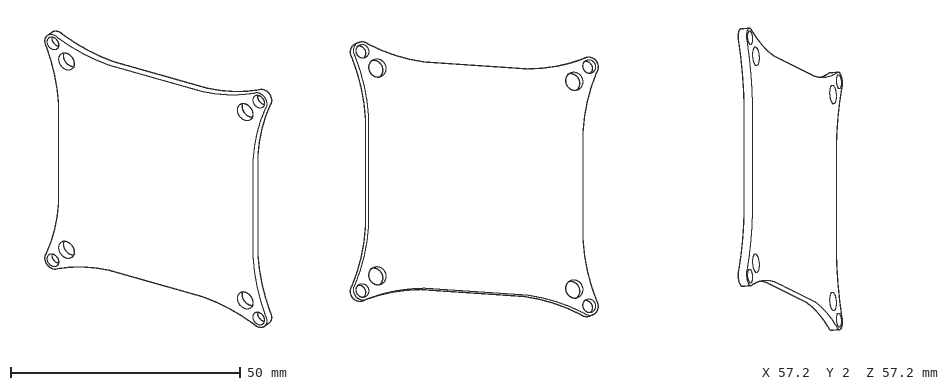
import cadquery as cq
import math

size = 57.25
thickness = 2.0
half_size = size / 2

flat_offset = 25.05
flat_half_length = 12.1

ear_radius = 2.1
ear_center = half_size - ear_radius
ear_hole_diameter = 3.0

ear_joint_angle = math.radians(126)

side_curve_sagitta = 0.6

mount_offset = 23.0
mount_hole_diameter = 4.0


def turned(point, quarter_turns):
    """Turn a point about the plate centre by clockwise quarter turns."""
    x, z = point
    for _ in range(quarter_turns):
        x, z = z, -x
    return x, z


def curve_middle(start, end, sagitta):
    """Middle point of an arc that bows to the right of its start-to-end direction."""
    dx = end[0] - start[0]
    dz = end[1] - start[1]
    chord = math.hypot(dx, dz)
    middle_x = (start[0] + end[0]) / 2 + sagitta * dz / chord
    middle_z = (start[1] + end[1]) / 2 - sagitta * dx / chord
    return middle_x, middle_z


def plate_outline():
    """Closed outline: each quarter is a flat, a curve, an ear and a second curve."""
    flat_start = (-flat_half_length, flat_offset)
    flat_end = (flat_half_length, flat_offset)
    joint_x = ear_center + ear_radius * math.cos(ear_joint_angle)
    joint_z = ear_center + ear_radius * math.sin(ear_joint_angle)
    ear_start = (joint_x, joint_z)
    ear_end = (joint_z, joint_x)
    ear_tip = (ear_center + ear_radius * math.sqrt(0.5),) * 2
    next_flat_start = turned(flat_start, 1)
    first_middle = curve_middle(flat_end, ear_start, side_curve_sagitta)
    second_middle = curve_middle(ear_end, next_flat_start, side_curve_sagitta)

    outline = cq.Workplane("XZ").moveTo(*flat_start)
    for turn in range(4):
        outline = outline.lineTo(*turned(flat_end, turn))
        outline = outline.threePointArc(turned(first_middle, turn), turned(ear_start, turn))
        outline = outline.threePointArc(turned(ear_tip, turn), turned(ear_end, turn))
        outline = outline.threePointArc(turned(second_middle, turn), turned(next_flat_start, turn))
    return outline.close()


def corner_holes(offset, diameter):
    """Four through-hole cutters at equal offsets along X and Z."""
    return (
        cq.Workplane("XZ")
        .rect(2 * offset, 2 * offset, forConstruction=True)
        .vertices()
        .circle(diameter / 2)
        .extrude(thickness)
    )


plate = plate_outline().extrude(thickness)
ear_holes = corner_holes(ear_center, ear_hole_diameter)
mount_holes = corner_holes(mount_offset, mount_hole_diameter)
result = plate.cut(ear_holes).cut(mount_holes)